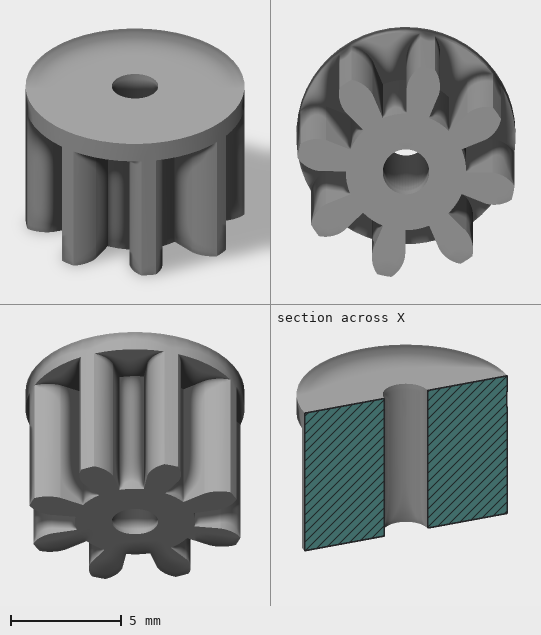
import cadquery as cq
import math

outer_diameter = 9.9
total_height = 7.0
flange_thickness = 0.93
bore_diameter = 2.1

tooth_count = 8
root_radius = 2.72
shoulder_radius = 3.91
shoulder_half_width = 0.74
tip_half_width = 0.33
flank_bulge = 0.13
tip_overrun = 0.495

outer_radius = outer_diameter / 2
tooth_height = total_height - flange_thickness
shoulder_x = math.sqrt(shoulder_radius**2 - shoulder_half_width**2)
tip_x = math.sqrt(outer_radius**2 - tip_half_width**2)


def make_tooth():
    """Overlong tooth along +X with radial lower flanks and rounded upper flanks."""
    return (
        cq.Workplane("XY")
        .lineTo(shoulder_x, -shoulder_half_width)
        .sagittaArc((tip_x, -tip_half_width), -flank_bulge)
        .lineTo(outer_radius + tip_overrun, -tip_half_width)
        .lineTo(outer_radius + tip_overrun, tip_half_width)
        .lineTo(tip_x, tip_half_width)
        .sagittaArc((shoulder_x, shoulder_half_width), -flank_bulge)
        .close()
        .extrude(tooth_height)
    )


def make_tooth_gaps():
    """Material between the teeth, below the flange and outside the root cylinder."""
    gaps = (
        cq.Workplane("XY")
        .circle(outer_radius + tip_overrun)
        .circle(root_radius)
        .extrude(tooth_height)
    )
    tooth = make_tooth()
    for index in range(tooth_count):
        gaps = gaps.cut(tooth.rotate((0, 0, 0), (0, 0, 1), index * 360 / tooth_count))
    return gaps


blank = cq.Workplane("XY").circle(outer_radius).circle(bore_diameter / 2).extrude(total_height)

result = blank.cut(make_tooth_gaps())